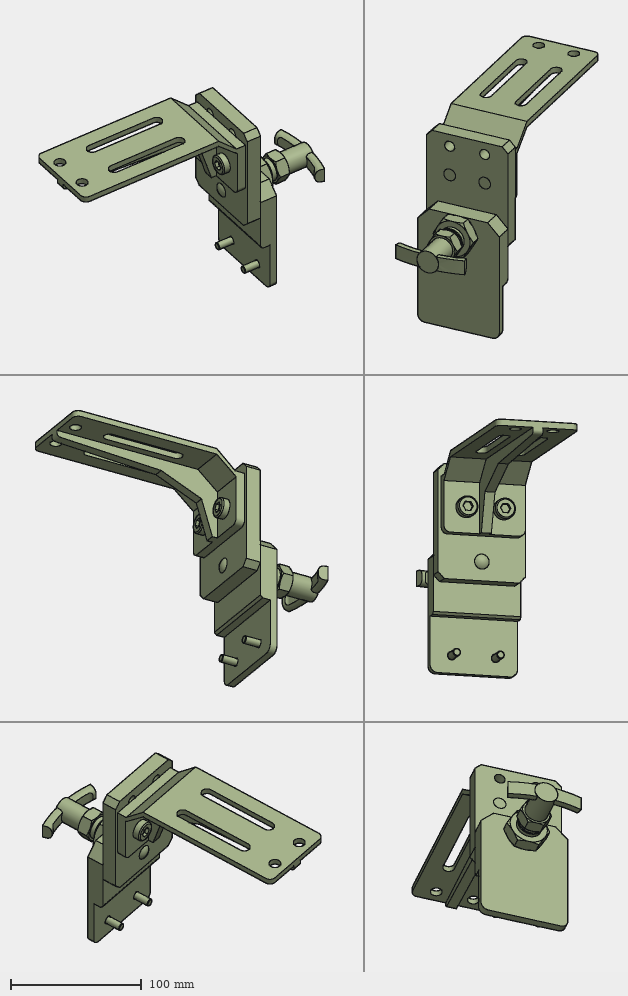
import cadquery as cq
import math


BASE_WIDTH = 70.0
BASE_THICKNESS = 14.8
BASE_TOP = 15.0
BASE_BOTTOM = -84.2
BASE_TOP_CHAMFER = 10.0
BASE_CORNER_RADIUS = 6.0
THIN_THICKNESS = 6.0
STEP_Z = -40.5
STEP_CHAMFER = 2.0
STUD_DIAMETER = 6.0
STUD_TIP_DIAMETER = 5.0
STUD_LENGTH = 13.3
STUD_X = 17.5
STUD_Z = -70.2
STUD_RELIEF_DIAMETER = 6.6
STUD_RELIEF_DEPTH = 1.0

PLATE_WIDTH = BASE_WIDTH
PLATE_THICKNESS = 12.5
PLATE_BOTTOM = -15.0
PLATE_TOP = 75.0
PLATE_CHAMFER = 5.0
TAPPED_DIAMETER = 8.5
TAPPED_Z = 64.8

BRACKET_WIDTH = 65.0
BRACKET_REACH = 149.7
BRACKET_BOTTOM = 20.0
BRACKET_BACK_TOP = 65.0
BRACKET_TOP = 80.0
BACK_THICKNESS = 7.5
SHELF_THICKNESS = 5.0
OUTER_BEND_START = 8.3
BEND_END = 24.8
INNER_BEND_Z = 60.0
BRACKET_CORNER_RADIUS = 5.0
RIB_WIDTH = 8.0
RIB_FOOT = 12.0
RIB_KNEE = (21.6, 50.2)
RIB_ELBOW = (57.4, 65.2)
RIB_END_Z = 69.9
RIB_END_RADIUS = 3.0
SLOT_WIDTH = 9.0
SLOT_X = 15.0
SLOT_NEAR_END = 40.0
SLOT_SPACING = 60.0
END_HOLE_INSET = 10.0

SCREW_X = 15.0
SCREW_Z = 40.0
SCREW_DIAMETER = 10.0
SCREW_HEAD_DIAMETER = 16.0
SCREW_HEAD_HEIGHT = 6.3
SCREW_HEAD_CHAMFER = 1.0
SCREW_SOCKET_FLATS = 7.0
SCREW_SOCKET_DEPTH = 3.0

THREAD_DIAMETER = 20.0
NUT_FLATS = 30.0
NUT_THICKNESS = 10.2
THREAD_STANDOUT = 3.7
THREAD_CHAMFER = 0.6
NECK_DIAMETER = 18.5
NECK_LENGTH = 4.0
HEX_FLATS = 22.0
HEX_THICKNESS = 10.3
HEX_CHAMFER_ANGLE = 30.0
PLUNGER_OVERHANG = 52.62
PIN_DIAMETER = 11.72
PIN_TIP_HEIGHT = 2.6

ARM_HALF_SPAN = 29.6
ARM_OUTER_RADIUS = 105.0
ARM_HEIGHT = 12.0
ARM_TIP_DEPTH = 7.7
ARM_DEPTH = 6.3
ARM_ROUNDING = 4.5
ARM_LIP_LENGTH = 2.2
ARM_LIP_BLEND_RADIUS = 4.0

nut_rear = BASE_THICKNESS + NUT_THICKNESS
thread_rear = nut_rear + THREAD_STANDOUT
neck_rear = thread_rear + NECK_LENGTH
hex_rear = neck_rear + HEX_THICKNESS
plunger_rear = BASE_THICKNESS + PLUNGER_OVERHANG
bracket_back = -PLATE_THICKNESS
bracket_front = bracket_back - BACK_THICKNESS
bracket_end = -BRACKET_REACH - PLATE_THICKNESS


def rod(diameter, y_start, y_end, x=0.0, z=0.0):
    """Round bar parallel to Y."""
    length = y_end - y_start
    solid = cq.Solid.makeCylinder(diameter / 2, length, cq.Vector(x, y_start, z), cq.Vector(0, 1, 0))
    return cq.Workplane(obj=solid)


def block(width, y_start, y_end, z_start, z_end):
    """Box centred on x = 0."""
    return cq.Workplane().box(width, y_end - y_start, z_end - z_start).translate(
        (0, (y_start + y_end) / 2, (z_start + z_end) / 2)
    )


def hex_bar(flats, y_start, y_end, x=0.0, z=0.0):
    """Hexagonal bar parallel to Y with two corners pointing along X."""
    corners = flats / math.cos(math.pi / 6)
    bar = cq.Workplane("XZ").polygon(6, corners).extrude(y_start - y_end)
    return bar.translate((x, y_start, z))


def hex_collar(flats, y_start, y_end):
    """Hexagon whose corners are turned down at both ends."""
    corners = flats / math.cos(math.pi / 6)
    inset = (corners - flats) / 2
    turned = rod(corners, y_start, y_end).faces("<Y or >Y").chamfer(
        inset * math.tan(math.radians(HEX_CHAMFER_ANGLE)), inset
    )
    return hex_bar(flats, y_start, y_end).intersect(turned)


def make_base():
    base = block(BASE_WIDTH, 0, BASE_THICKNESS, BASE_BOTTOM, BASE_TOP)
    base = base.edges("|Y and >Z").chamfer(BASE_TOP_CHAMFER)
    base = base.edges("|Y and <Z").fillet(BASE_CORNER_RADIUS)
    thin_face = BASE_THICKNESS - THIN_THICKNESS
    base = base.cut(block(BASE_WIDTH, 0, thin_face, BASE_BOTTOM, STEP_Z))
    base = base.faces("<Y").edges("<Z").chamfer(STEP_CHAMFER)
    for x in (-STUD_X, STUD_X):
        base = base.cut(rod(STUD_RELIEF_DIAMETER, thin_face, thin_face + STUD_RELIEF_DEPTH, x, STUD_Z))
        stud = rod(STUD_DIAMETER, thin_face - STUD_LENGTH, BASE_THICKNESS, x, STUD_Z)
        stud = stud.faces("<Y").chamfer((STUD_DIAMETER - STUD_TIP_DIAMETER) / 2)
        base = base.union(stud)
    return base.cut(rod(THREAD_DIAMETER, 0, BASE_THICKNESS))


def make_swivel_plate():
    plate = block(PLATE_WIDTH, -PLATE_THICKNESS, 0, PLATE_BOTTOM, PLATE_TOP)
    plate = plate.edges("|Y").chamfer(PLATE_CHAMFER)
    plate = plate.cut(rod(PIN_DIAMETER, -PLATE_THICKNESS, 0))
    for x in (-SCREW_X, SCREW_X):
        plate = plate.cut(rod(SCREW_DIAMETER, -PLATE_THICKNESS, 0, x, SCREW_Z))
        plate = plate.cut(rod(TAPPED_DIAMETER, -PLATE_THICKNESS, 0, x, TAPPED_Z))
    return plate


def side_profile(points, width):
    """Extrude an outline of (reach, z) points in X; reach runs forward from the swivel plate."""
    outline = [(bracket_back - reach, z) for reach, z in points]
    return cq.Workplane("YZ").polyline(outline).close().extrude(width / 2, both=True)


def make_bracket():
    shelf_underside = BRACKET_TOP - SHELF_THICKNESS
    bracket = side_profile(
        [
            (0, BRACKET_BOTTOM),
            (0, BRACKET_BACK_TOP),
            (OUTER_BEND_START, BRACKET_BACK_TOP),
            (BEND_END, BRACKET_TOP),
            (BRACKET_REACH, BRACKET_TOP),
            (BRACKET_REACH, shelf_underside),
            (BEND_END, shelf_underside),
            (BACK_THICKNESS, INNER_BEND_Z),
            (BACK_THICKNESS, BRACKET_BOTTOM),
        ],
        BRACKET_WIDTH,
    )
    bracket = bracket.faces("<Z").edges("|Y").fillet(BRACKET_CORNER_RADIUS)
    bracket = bracket.faces("<Y").edges("|Z").fillet(BRACKET_CORNER_RADIUS)
    rib = side_profile(
        [
            (BACK_THICKNESS, BRACKET_BOTTOM),
            (BACK_THICKNESS, INNER_BEND_Z),
            (BEND_END, shelf_underside),
            (BRACKET_REACH, shelf_underside),
            (BRACKET_REACH, RIB_END_Z),
            RIB_ELBOW,
            RIB_KNEE,
            (RIB_FOOT, BRACKET_BOTTOM),
        ],
        RIB_WIDTH,
    )
    rib = rib.faces("<Y").edges("<Z").fillet(RIB_END_RADIUS)
    bracket = bracket.union(rib)

    slot_y = bracket_end + SLOT_NEAR_END + SLOT_SPACING / 2
    for x in (-SLOT_X, SLOT_X):
        slot = cq.Workplane("XY", origin=(x, slot_y, BRACKET_TOP))
        slot = slot.slot2D(SLOT_SPACING + SLOT_WIDTH, SLOT_WIDTH, 90)
        bracket = bracket.cut(slot.extrude(-SHELF_THICKNESS))
        end_hole = cq.Workplane("XY", origin=(x, bracket_end + END_HOLE_INSET, BRACKET_TOP))
        end_hole = end_hole.circle(SLOT_WIDTH / 2)
        bracket = bracket.cut(end_hole.extrude(-SHELF_THICKNESS))
    for x in (-SCREW_X, SCREW_X):
        bracket = bracket.cut(rod(SCREW_DIAMETER, bracket_front, bracket_back, x, SCREW_Z))
    return bracket


def make_screw(x):
    head_front = bracket_front - SCREW_HEAD_HEIGHT
    screw = rod(SCREW_HEAD_DIAMETER, head_front, bracket_front, x, SCREW_Z)
    screw = screw.faces("<Y").edges().chamfer(SCREW_HEAD_CHAMFER)
    screw = screw.union(rod(SCREW_DIAMETER, bracket_front, 0, x, SCREW_Z))
    socket = hex_bar(SCREW_SOCKET_FLATS, head_front, head_front + SCREW_SOCKET_DEPTH, x, SCREW_Z)
    return screw.cut(socket)


def make_nut():
    nut = hex_collar(NUT_FLATS, BASE_THICKNESS, nut_rear)
    return nut.cut(rod(THREAD_DIAMETER, BASE_THICKNESS, nut_rear))


def arc_band(outer_radius, inner_radius, half_angle):
    """Curved bar in the XY plane, as tall as the arms, bulging toward the rear end of the plunger."""
    center_y = plunger_rear - ARM_OUTER_RADIUS

    def point(radius, angle):
        return (radius * math.sin(angle), center_y + radius * math.cos(angle))

    band = (
        cq.Workplane("XY", origin=(0, 0, -ARM_HEIGHT / 2))
        .moveTo(*point(outer_radius, -half_angle))
        .threePointArc(point(outer_radius, 0), point(outer_radius, half_angle))
        .lineTo(*point(inner_radius, half_angle))
        .threePointArc(point(inner_radius, 0), point(inner_radius, -half_angle))
        .close()
    )
    return band.extrude(ARM_HEIGHT)


def make_handle_arms():
    """Curved T-bar, rounded on the gripping side, with a thicker lip at each tip."""
    half_angle = math.asin(ARM_HALF_SPAN / ARM_OUTER_RADIUS)
    tip_radius = ARM_OUTER_RADIUS - ARM_TIP_DEPTH
    arms = arc_band(ARM_OUTER_RADIUS, tip_radius, half_angle)
    gripping_edges = arms.edges("%CIRCLE").edges(cq.selectors.RadiusNthSelector(0))
    arms = gripping_edges.fillet(ARM_ROUNDING)
    relief_angle = half_angle - ARM_LIP_LENGTH / ARM_OUTER_RADIUS
    relief_radius = ARM_OUTER_RADIUS - ARM_DEPTH
    relief = arc_band(relief_radius, relief_radius - 2 * ARM_LIP_BLEND_RADIUS, relief_angle)
    relief = relief.edges("|Z").edges(">Y").fillet(ARM_LIP_BLEND_RADIUS)
    return arms.cut(relief)


def make_plunger():
    plunger = rod(NECK_DIAMETER, thread_rear, plunger_rear)
    plunger = plunger.union(hex_collar(HEX_FLATS, neck_rear, hex_rear))
    plunger = plunger.union(rod(THREAD_DIAMETER, 0, thread_rear).faces(">Y").chamfer(THREAD_CHAMFER))
    plunger = plunger.union(rod(PIN_DIAMETER, -PLATE_THICKNESS, 0))
    pin_radius = PIN_DIAMETER / 2
    dome_radius = (pin_radius**2 + PIN_TIP_HEIGHT**2) / (2 * PIN_TIP_HEIGHT)
    dome = cq.Workplane().sphere(dome_radius).translate(
        (0, -PLATE_THICKNESS - PIN_TIP_HEIGHT + dome_radius, 0)
    )
    dome = dome.intersect(rod(PIN_DIAMETER, -PLATE_THICKNESS - PIN_TIP_HEIGHT, -PLATE_THICKNESS))
    return plunger.union(dome).union(make_handle_arms())


base = make_base()
swivel_plate = make_swivel_plate()
bracket = make_bracket()
screws = [make_screw(x) for x in (-SCREW_X, SCREW_X)]
nut = make_nut()
plunger = make_plunger()

result = cq.Compound.makeCompound(
    [
        base.val(),
        swivel_plate.val(),
        bracket.val(),
        *[screw.val() for screw in screws],
        nut.val(),
        plunger.val(),
    ]
)